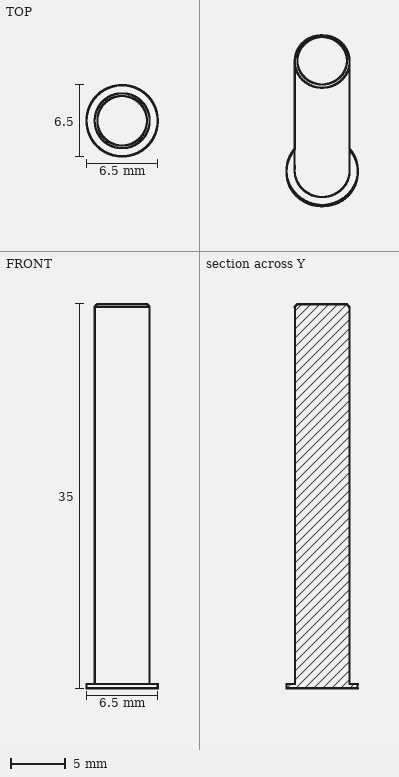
import cadquery as cq

total_length = 35.0
shank_diameter = 5.0
flange_diameter = 6.5
flange_thickness = 0.42
tip_chamfer = 0.25

flange = cq.Workplane("XY").circle(flange_diameter / 2).extrude(flange_thickness)

shank = (
    cq.Workplane("XY")
    .circle(shank_diameter / 2)
    .extrude(total_length)
    .faces(">Z")
    .chamfer(tip_chamfer)
)

result = flange.union(shank)